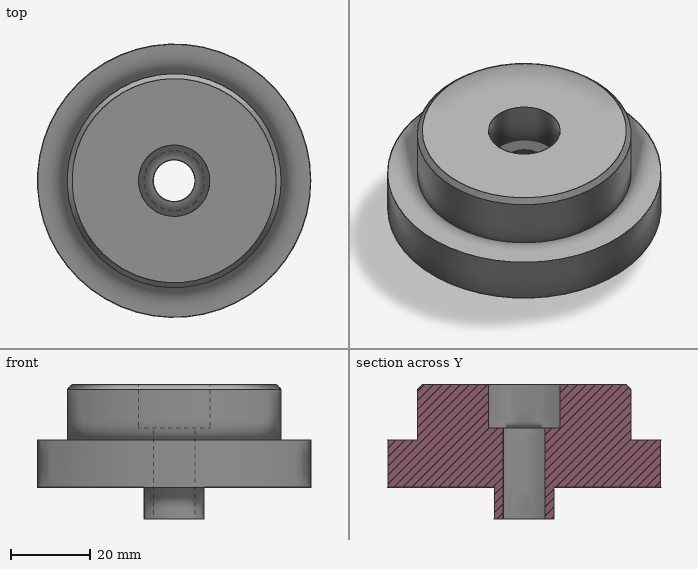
import cadquery as cq

flange_diameter = 69.0
flange_height = 12.0
boss_diameter = 54.0
boss_height = 14.0
boss_chamfer = 1.25
stub_diameter = 15.2
stub_height = 8.0

bore_diameter = 10.5
counterbore_diameter = 18.0
counterbore_depth = 11.0

boss_top = flange_height + boss_height
total_height = stub_height + boss_top


def cylinder(diameter, height, base):
    """Upright cylinder on the Z axis, standing on the level `base`."""
    return cq.Workplane("XY").workplane(offset=base).circle(diameter / 2).extrude(height)


def make_body():
    """Flange with a chamfered boss above it and a stub below it."""
    flange = cylinder(flange_diameter, flange_height, 0)
    boss = cylinder(boss_diameter, boss_height, flange_height)
    boss = boss.faces(">Z").chamfer(boss_chamfer)
    stub = cylinder(stub_diameter, stub_height, -stub_height)
    return flange.union(boss).union(stub)


def make_bore():
    """Through bore with a counterbore sunk from the top of the boss."""
    through_bore = cylinder(bore_diameter, total_height, -stub_height)
    counterbore = cylinder(counterbore_diameter, counterbore_depth, boss_top - counterbore_depth)
    return through_bore.union(counterbore)


result = make_body().cut(make_bore())